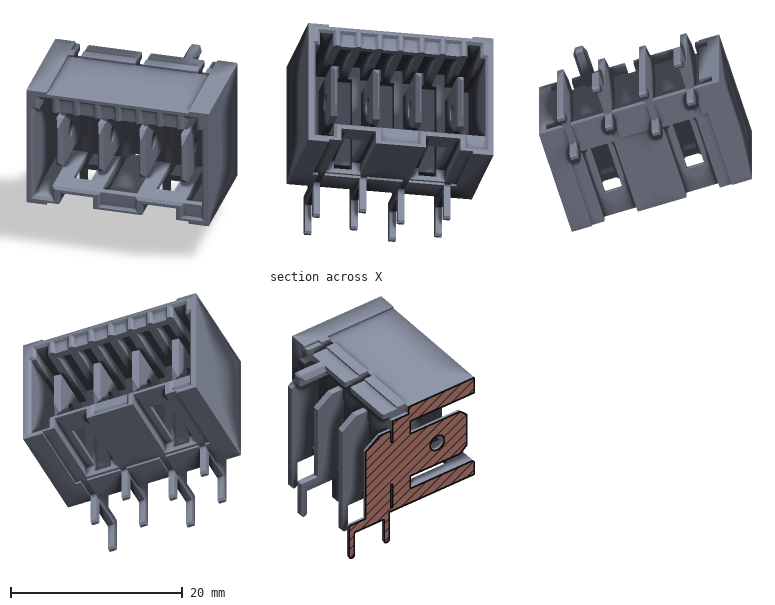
import cadquery as cq
import math

WIDTH = 22.0
DEPTH = 12.8
HEIGHT = 14.9

RELIEF_HALF_WIDTH = 8.55
RELIEF_LENGTH = 9.5
TOP_RELIEF = 0.25
BOTTOM_RELIEF = 0.3
REAR_SHELF_START = 10.76

CAVITY_HALF_WIDTH = 10.1
CAVITY_FLOOR = 2.47
CAVITY_CEILING = 12.37
CAVITY_DEPTH = 9.2
LEAD_IN = 0.3

TOP_SLOT_COUNT = 8
TOP_SLOT_PITCH = 2.5
TOP_SLOT_WIDTH = 1.55
TOP_SLOT_CEILING = 13.94
BOTTOM_SLOT_FLOOR = 0.87
WEB_THICKNESS = 0.8

KEY_CENTRES = (-5.0, 5.0)
KEY_HALF_WIDTH = 2.92
KEY_HOLLOW_HALF_WIDTH = 2.04
KEY_HOLLOW_CEILING = 1.8
KEY_WINDOW_START = 2.8

REAR_FACE = 11.8
CHANNEL_DEPTH = 1.0
CHANNEL_CENTRES = (-5.0, 0.0, 5.0)
CHANNEL_WIDTH = 2.14
LEFT_CHANNEL_EDGE = -8.77
RIGHT_CHANNEL_EDGE = 9.0

NOTCHES = (
    (-7.5, 0.94, 0.25),
    (0.0, 1.0, 0.1),
    (7.5, 0.94, 0.25),
)
NOTCH_FLOOR = 13.6

PEG_CENTRE = 5.0
PEG_CORE_WIDTH = 0.86
PEG_WING_SPAN = 1.7
PEG_WING_HEIGHT = 0.64
PEG_WING_TAPER = 0.62
PEG_BOTTOM = 13.05
PEG_END = 16.43
PEG_TIP_CHAMFER = 0.22
PEG_TIP_SIDE_CHAMFER = 0.08

TERMINAL_THICKNESS = 0.8
BLADE_BOTTOM = 4.27
BLADE_HEIGHT = 6.3
BLADE_TIP = 1.05
BLADE_TIP_LENGTH = 1.0
BLADE_TIP_THICKNESS = 0.08
BLADE_TIP_DROP = 0.92
BLADE_HOLE_DIAMETER = 2.0
BLADE_HOLE_Y = 5.35
STEM_FRONT = 12.0
STEM_BACK = 15.65
STEM_TOP = 12.3
STEM_BOTTOM = BOTTOM_RELIEF
STEM_SLOPE_START = 13.62
STEM_SLOPE_DROP = 1.5
FOOT_TOP = 0.96
FOOT_BOTTOM = -0.4
FOOT_CORNER_RADIUS = 0.2
LEG_PITCH = 5.0
LEG_WIDTH = 0.8
LEG_END = -4.0
LEG_ROOT_RADIUS = 0.12
LEG_TIP_INSET = 0.22
LEG_TIP_LENGTH = 0.27
LONG_FOOT_BACK = 18.0
SHORT_FOOT_BACK = STEM_BACK
SECOND_LONG_SHIFT = -0.1
TERMINALS = (
    (-7.5, LONG_FOOT_BACK, 0.0),
    (-2.5, SHORT_FOOT_BACK, 0.0),
    (2.5, LONG_FOOT_BACK, SECOND_LONG_SHIFT),
    (7.5, SHORT_FOOT_BACK, 0.0),
)


def block(x0, x1, y0, y1, z0, z1):
    """Box between two opposite corners."""
    return cq.Workplane("XY").box(x1 - x0, y1 - y0, z1 - z0, centered=False).translate((x0, y0, z0))


def tapered_block(front, back, y0, y1):
    """Loft between two XZ rectangles, each given as (x0, x1, z0, z1)."""

    def corners(rectangle, y):
        x0, x1, z0, z1 = rectangle
        return [cq.Vector(x0, y, z0), cq.Vector(x1, y, z0), cq.Vector(x1, y, z1), cq.Vector(x0, y, z1)]

    wires = [
        cq.Wire.makePolygon(corners(front, y0), close=True),
        cq.Wire.makePolygon(corners(back, y1), close=True),
    ]
    return cq.Workplane("XY").add(cq.Solid.makeLoft(wires, True))


def flared_opening(x0, x1, z0, z1, depth):
    """Straight pocket from the front face with a 45 degree lead-in."""
    wide = (x0 - LEAD_IN, x1 + LEAD_IN, z0 - LEAD_IN, z1 + LEAD_IN)
    mouth = tapered_block(wide, (x0, x1, z0, z1), 0, LEAD_IN)
    return mouth.union(block(x0, x1, LEAD_IN, depth, z0, z1))


def top_slots():
    """X ranges of the ceiling slots, left to right."""
    middle = (TOP_SLOT_COUNT - 1) / 2
    centres = [(i - middle) * TOP_SLOT_PITCH for i in range(TOP_SLOT_COUNT)]
    return [(c - TOP_SLOT_WIDTH / 2, c + TOP_SLOT_WIDTH / 2) for c in centres]


def bottom_slots():
    """X ranges of the floor slots left free beside and between the keys."""
    left_key, right_key = KEY_CENTRES
    return [
        (-CAVITY_HALF_WIDTH, left_key - KEY_HALF_WIDTH),
        (left_key + KEY_HALF_WIDTH, right_key - KEY_HALF_WIDTH),
        (right_key + KEY_HALF_WIDTH, CAVITY_HALF_WIDTH),
    ]


def outer_shell():
    half = WIDTH / 2
    body = block(-half, half, 0, DEPTH, 0, HEIGHT)
    side = RELIEF_HALF_WIDTH
    relief_top = HEIGHT - TOP_RELIEF
    body = body.cut(block(-side, side, 0, RELIEF_LENGTH, relief_top, HEIGHT))
    body = body.cut(block(-side, side, REAR_SHELF_START, DEPTH, relief_top, HEIGHT))
    body = body.cut(block(-side, side, 0, RELIEF_LENGTH, 0, BOTTOM_RELIEF))
    return body.cut(block(-side, side, REAR_FACE, DEPTH, BOTTOM_SLOT_FLOOR, TOP_SLOT_CEILING))


def cut_cavity(body):
    half = CAVITY_HALF_WIDTH
    opening = flared_opening(-half, half, CAVITY_FLOOR, CAVITY_CEILING, CAVITY_DEPTH)
    rib_end = top_slots()[-1][1]
    opening = opening.cut(block(-rib_end, rib_end, 0, LEAD_IN, CAVITY_CEILING, CAVITY_CEILING + LEAD_IN))
    body = body.cut(opening)
    middle = (CAVITY_FLOOR + CAVITY_CEILING) / 2
    for x0, x1 in top_slots():
        body = body.cut(flared_opening(x0, x1, middle, TOP_SLOT_CEILING, CAVITY_DEPTH))
    for x0, x1 in (top_slots()[0], top_slots()[-1]):
        body = body.cut(block(x0, x1, CAVITY_DEPTH, DEPTH, CAVITY_CEILING, TOP_SLOT_CEILING))
    for x0, x1 in bottom_slots():
        body = body.cut(flared_opening(x0, x1, BOTTOM_SLOT_FLOOR, middle, CAVITY_DEPTH))
        body = body.cut(block(x0, x1, CAVITY_DEPTH, DEPTH, BOTTOM_SLOT_FLOOR, CAVITY_FLOOR))
    return body


def add_coding_webs(body):
    """Close the inner ceiling slots and all floor slots but the left one."""
    y0 = LEAD_IN
    y1 = LEAD_IN + WEB_THICKNESS
    for x0, x1 in top_slots()[1:-1]:
        body = body.union(block(x0, x1, y0, y1, CAVITY_CEILING, TOP_SLOT_CEILING))
    for x0, x1 in bottom_slots()[1:]:
        body = body.union(block(x0, x1, y0, y1, BOTTOM_SLOT_FLOOR, CAVITY_FLOOR))
    return body


def cut_channels(body):
    y1 = CAVITY_DEPTH + CHANNEL_DEPTH
    ranges = [(c - CHANNEL_WIDTH / 2, c + CHANNEL_WIDTH / 2) for c in CHANNEL_CENTRES]
    ranges.append((-CAVITY_HALF_WIDTH, LEFT_CHANNEL_EDGE))
    ranges.append((RIGHT_CHANNEL_EDGE, CAVITY_HALF_WIDTH))
    for x0, x1 in ranges:
        body = body.cut(block(x0, x1, CAVITY_DEPTH, y1, CAVITY_FLOOR, CAVITY_CEILING))
    return body


def hollow_keys(body):
    """Open the keys from below, with a floor window and a rear outlet each."""
    channel_back = CAVITY_DEPTH + CHANNEL_DEPTH
    for c in KEY_CENTRES:
        half = KEY_HOLLOW_HALF_WIDTH
        body = body.cut(block(c - half, c + half, 0, CAVITY_DEPTH, 0, KEY_HOLLOW_CEILING))
        x0 = c - CHANNEL_WIDTH / 2
        x1 = c + CHANNEL_WIDTH / 2
        body = body.cut(block(x0, x1, KEY_WINDOW_START, channel_back, BOTTOM_SLOT_FLOOR, CAVITY_FLOOR))
        body = body.cut(block(x0, x1, CAVITY_DEPTH, DEPTH, BOTTOM_SLOT_FLOOR, KEY_HOLLOW_CEILING))
    return body


def cut_notches(body):
    for c, width, radius in NOTCHES:
        half = width / 2
        bend = DEPTH - radius
        mid = radius * math.sqrt(0.5)
        flare = half + radius
        outline = (
            cq.Workplane("XY")
            .workplane(offset=NOTCH_FLOOR)
            .moveTo(c - half, RELIEF_LENGTH)
            .lineTo(c + half, RELIEF_LENGTH)
            .lineTo(c + half, bend)
            .threePointArc((c + flare - mid, bend + mid), (c + flare, DEPTH))
            .lineTo(c - flare, DEPTH)
            .threePointArc((c - flare + mid, bend + mid), (c - half, bend))
            .close()
        )
        body = body.cut(outline.extrude(HEIGHT - NOTCH_FLOOR))
    return body


def cut_terminal_slots(body):
    """Grooves in the underside, open at both ends, that the solder legs leave through."""
    half = TERMINAL_THICKNESS / 2
    for x, _, _ in TERMINALS:
        body = body.cut(block(x - half, x + half, RELIEF_LENGTH, DEPTH, 0, BOTTOM_RELIEF))
    return body


def peg_core(top):
    """Narrow upright bar with a chamfered tip, centred on x = 0."""
    half = PEG_CORE_WIDTH / 2
    bar = block(-half, half, REAR_FACE, PEG_END, PEG_BOTTOM, top)
    bar = bar.faces(">Y").edges("|X").chamfer(PEG_TIP_CHAMFER)
    return bar.faces(">Y").edges("|Z").chamfer(PEG_TIP_SIDE_CHAMFER)


def peg_wings(top):
    """Roof-shaped flare along the top of the peg, narrowing at the tip."""
    half = PEG_WING_SPAN / 2
    core = PEG_CORE_WIDTH / 2
    eaves = top - PEG_WING_HEIGHT
    taper_start = PEG_END - PEG_WING_TAPER
    section = [(-half, eaves), (half, eaves), (core, top), (-core, top)]
    plan = [
        (-half, REAR_FACE),
        (half, REAR_FACE),
        (half, taper_start),
        (core, PEG_END),
        (-core, PEG_END),
        (-half, taper_start),
    ]
    chamfer = PEG_TIP_CHAMFER
    profile = [
        (REAR_FACE, eaves),
        (PEG_END, eaves),
        (PEG_END, top - chamfer),
        (PEG_END - chamfer, top),
        (REAR_FACE, top),
    ]
    wings = cq.Workplane("XZ").polyline(section).close().extrude(-PEG_END)
    wings = wings.intersect(cq.Workplane("XY").polyline(plan).close().extrude(HEIGHT))
    return wings.intersect(cq.Workplane("YZ").polyline(profile).close().extrude(half, both=True))


def peg():
    top = HEIGHT - TOP_RELIEF
    return peg_core(top).union(peg_wings(top)).translate((PEG_CENTRE, 0, 0))


def side_plate(points):
    """Sheet of terminal thickness, centred on x = 0, from a YZ outline."""
    return cq.Workplane("YZ").polyline(points).close().extrude(TERMINAL_THICKNESS / 2, both=True)


def blade():
    half = TERMINAL_THICKNESS / 2
    tip = BLADE_TIP_THICKNESS / 2
    top = BLADE_BOTTOM + BLADE_HEIGHT
    shoulder = BLADE_TIP + BLADE_TIP_LENGTH
    point = tapered_block(
        (-tip, tip, BLADE_BOTTOM + BLADE_TIP_DROP, top - BLADE_TIP_DROP),
        (-half, half, BLADE_BOTTOM, top),
        BLADE_TIP,
        shoulder,
    )
    bar = block(-half, half, shoulder, STEM_FRONT, BLADE_BOTTOM, top)
    hole = (
        cq.Workplane("YZ")
        .center(BLADE_HOLE_Y, BLADE_BOTTOM + BLADE_HEIGHT / 2)
        .circle(BLADE_HOLE_DIAMETER / 2)
        .extrude(TERMINAL_THICKNESS, both=True)
    )
    return point.union(bar).cut(hole)


def foot(back):
    """Horizontal bar with two solder legs, its rear end at y = back."""
    front = back - LEG_PITCH - LEG_WIDTH
    tip_start = LEG_END + LEG_TIP_LENGTH
    outline = [
        (front, FOOT_TOP),
        (front, tip_start),
        (front + LEG_TIP_INSET, LEG_END),
        (front + LEG_WIDTH - LEG_TIP_INSET, LEG_END),
        (front + LEG_WIDTH, tip_start),
        (front + LEG_WIDTH, FOOT_BOTTOM),
        (back - LEG_WIDTH, FOOT_BOTTOM),
        (back - LEG_WIDTH, tip_start),
        (back - LEG_WIDTH + LEG_TIP_INSET, LEG_END),
        (back - LEG_TIP_INSET, LEG_END),
        (back, tip_start),
        (back, FOOT_TOP),
    ]
    plate = side_plate(outline)
    roots = cq.selectors.BoxSelector(
        (-WIDTH, front + LEG_WIDTH / 2, FOOT_BOTTOM - LEG_WIDTH / 2),
        (WIDTH, back - LEG_WIDTH / 2, FOOT_BOTTOM + LEG_WIDTH / 2),
    )
    plate = plate.edges("|X").edges(roots).fillet(LEG_ROOT_RADIUS)
    if back > STEM_BACK:
        plate = plate.edges("|X").edges(">Z").edges(">Y").fillet(FOOT_CORNER_RADIUS)
    return plate


def terminal(foot_back):
    stem = side_plate([
        (STEM_FRONT, STEM_BOTTOM),
        (STEM_BACK, STEM_BOTTOM),
        (STEM_BACK, STEM_TOP - STEM_SLOPE_DROP),
        (STEM_SLOPE_START, STEM_TOP),
        (STEM_FRONT, STEM_TOP),
    ])
    return stem.union(blade()).union(foot(foot_back))


def housing():
    body = cut_cavity(outer_shell())
    body = add_coding_webs(body)
    body = cut_channels(body)
    body = hollow_keys(body)
    body = cut_notches(body)
    body = cut_terminal_slots(body)
    return body.union(peg())


result = housing()
for x, foot_back, shift in TERMINALS:
    result = result.union(terminal(foot_back).translate((x, shift, 0)))